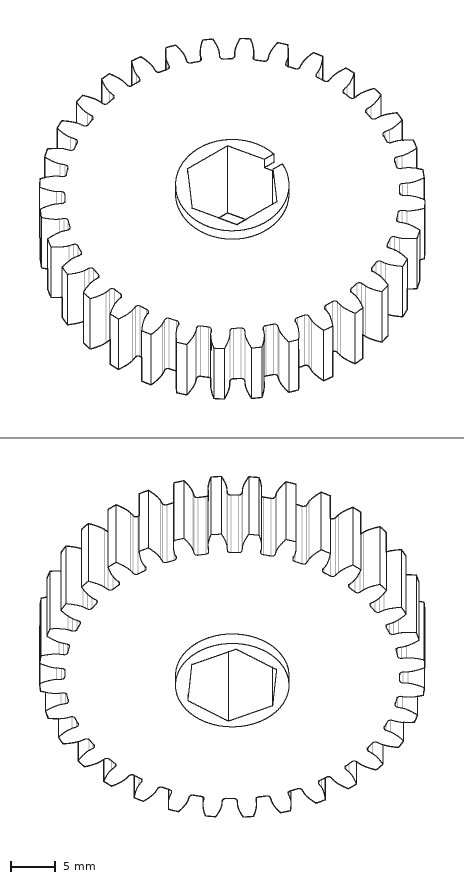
import cadquery as cq
import math

outer_size = 43.05
tooth_count = 32
pressure_angle = math.radians(14.5)
dedendum_in_modules = 1.25
root_fillet = 0.4
flank_steps = 6
cutter_overrun = 0.2

gear_width = 9.5
overall_height = 12.65
hub_diameter = 12.7
hub_height = (overall_height - gear_width) / 2

hex_across_flats = 9.5
hex_across_corners = hex_across_flats / math.cos(math.pi / 6)
notch_width = 1.7


def involute(angle):
    """Polar angle swept by an involute at the given pressure angle."""
    return math.tan(angle) - angle


def gap_half_angle(pitch_ratio):
    """Half the angular width of a tooth gap at a radius given as a multiple of the pitch radius.

    The flanks are radial below the base circle.
    """
    local_angle = math.acos(min(1, math.cos(pressure_angle) / pitch_ratio))
    return math.pi / (2 * tooth_count) + involute(local_angle) - involute(pressure_angle)


tip_ratio = (tooth_count + 2) / tooth_count
tip_radius = outer_size / 2 / math.cos(gap_half_angle(tip_ratio))
pitch_radius = tip_radius / tip_ratio
module = 2 * pitch_radius / tooth_count
root_radius = pitch_radius - dedendum_in_modules * module
base_radius = pitch_radius * math.cos(pressure_angle)


def gap_point(radius, side):
    """Point on a gap flank, for a gap centred on +Y; side is -1 for left, 1 for right."""
    angle = side * gap_half_angle(radius / pitch_radius)
    return (radius * math.sin(angle), radius * math.cos(angle))


def make_tooth_gap():
    """Cutter for one tooth gap, running slightly past the tip circle."""
    cutter_radius = tip_radius + cutter_overrun
    step = (cutter_radius - base_radius) / flank_steps
    flank_radii = [base_radius + i * step for i in range(flank_steps + 1)]
    right_flank = [gap_point(radius, 1) for radius in flank_radii]
    left_flank = [gap_point(radius, -1) for radius in reversed(flank_radii)]
    gap = (
        cq.Workplane("XY")
        .workplane(offset=-gear_width / 2)
        .moveTo(*gap_point(root_radius, -1))
        .threePointArc((0, root_radius), gap_point(root_radius, 1))
        .lineTo(*right_flank[0])
        .spline(right_flank[1:], includeCurrent=True)
        .lineTo(*left_flank[0])
        .spline(left_flank[1:], includeCurrent=True)
        .close()
        .extrude(gear_width)
    )
    root_edges = cq.selectors.BoxSelector(
        (-pitch_radius, root_radius - root_fillet, -gear_width),
        (pitch_radius, root_radius + root_fillet, gear_width),
    )
    return gap.edges("|Z").edges(root_edges).fillet(root_fillet)


gear = cq.Workplane("XY").circle(tip_radius).extrude(gear_width / 2, both=True)
tooth_gap = make_tooth_gap().val()
gaps = [
    tooth_gap.rotate((0, 0, 0), (0, 0, 1), i * 360 / tooth_count)
    for i in range(tooth_count)
]
gear = gear.cut(cq.Workplane("XY").newObject([cq.Compound.makeCompound(gaps)]))

hub = cq.Workplane("XY").circle(hub_diameter / 2).extrude(overall_height / 2, both=True)

bore = (
    cq.Workplane("XY")
    .transformed(rotate=(0, 0, 90))
    .polygon(6, hex_across_corners)
    .extrude(overall_height, both=True)
)

notch = (
    cq.Workplane("XY")
    .workplane(offset=gear_width / 2)
    .center(0, hub_diameter / 2)
    .rect(notch_width, hub_diameter)
    .extrude(hub_height)
)

result = gear.union(hub).cut(bore).cut(notch)